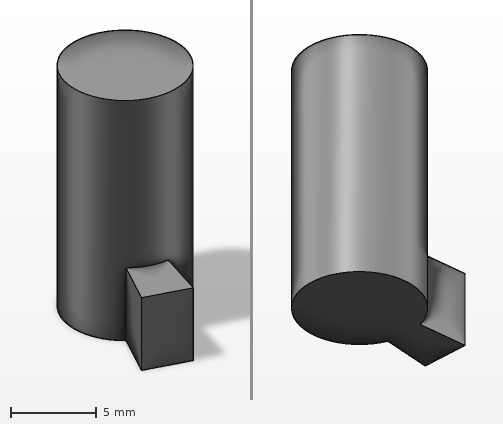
import cadquery as cq
import math

body_diameter = 8.0
body_height = 16.5
body_radius = body_diameter / 2

key_reach = 7.25
key_height = 5.0
key_outer_width = 3.25
key_flank_angle = 5.0


def make_body():
    return cq.Workplane("XY").circle(body_radius).extrude(body_height)


def make_key():
    """Dovetail-shaped key, starting at the body axis so it fuses fully."""
    outer_half_width = key_outer_width / 2
    taper = key_reach * math.tan(math.radians(key_flank_angle))
    axis_half_width = outer_half_width - taper
    outline = [
        (0, -axis_half_width),
        (key_reach, -outer_half_width),
        (key_reach, outer_half_width),
        (0, axis_half_width),
    ]
    return cq.Workplane("XY").polyline(outline).close().extrude(key_height)


result = make_body().union(make_key())